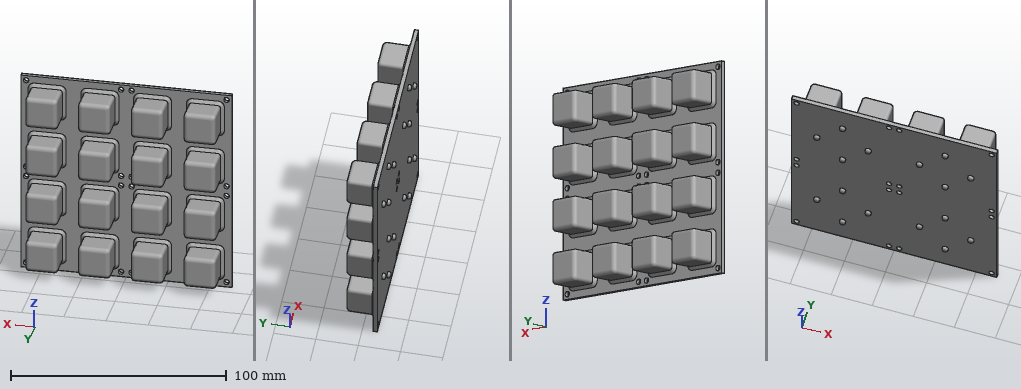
import cadquery as cq
import math

plate_side = 100.0
plate_thickness = 2.0

hole_diameter = 2.5
hole_inset = 2.5

buttons_per_side = 4
button_pitch = plate_side / buttons_per_side
button_side = 15.0
button_height = 13.7
button_corner_radius = 1.5
button_top_radius = 2.0

skirt_height = 1.5
skirt_angle = 45.0
skirt_width = skirt_height * math.tan(math.radians(skirt_angle))

stud_diameter = 3.0
stud_height = 1.5
stud_rounding = 1.0
stud_offset = button_pitch / 2

quadrant_center = plate_side / 4
hole_outer = plate_side / 2 - hole_inset
hole_lines = [-hole_outer, -hole_inset, hole_inset, hole_outer]
button_lines = [(i - (buttons_per_side - 1) / 2) * button_pitch for i in range(buttons_per_side)]
quadrant_lines = [-quadrant_center, quadrant_center]
diamond = [(stud_offset, 0), (-stud_offset, 0), (0, stud_offset), (0, -stud_offset)]


def grid(lines):
    """Every (x, z) crossing of equal column and row positions."""
    return [(x, z) for x in lines for z in lines]


def facing_back(y):
    """Work plane at the given y, facing +Y, with local axes -X and Z."""
    return cq.Workplane(cq.Plane(origin=(0, y, 0), xDir=(-1, 0, 0), normal=(0, 1, 0)))


def make_plate():
    plate = facing_back(0).rect(plate_side, plate_side).extrude(plate_thickness)
    holes = facing_back(0).pushPoints(grid(hole_lines)).circle(hole_diameter / 2).extrude(plate_thickness)
    return plate.cut(holes)


def make_button():
    body = facing_back(plate_thickness).rect(button_side, button_side).extrude(button_height)
    body = body.faces(">Y").edges().fillet(button_top_radius)
    body = body.edges("|Y").fillet(button_corner_radius)

    foot_side = button_side + 2 * skirt_width
    foot = cq.Sketch().rect(foot_side, foot_side).vertices().fillet(button_corner_radius + skirt_width)
    skirt = facing_back(plate_thickness).placeSketch(foot).extrude(skirt_height, taper=skirt_angle)
    return body.union(skirt)


def make_stud():
    stud = cq.Workplane("XZ").circle(stud_diameter / 2).extrude(stud_height)
    return stud.faces("<Y").edges().fillet(stud_rounding)


result = make_plate()

button = make_button()
for x, z in grid(button_lines):
    result = result.union(button.translate((x, 0, z)))

stud = make_stud()
for center_x, center_z in grid(quadrant_lines):
    for offset_x, offset_z in diamond:
        result = result.union(stud.translate((center_x + offset_x, 0, center_z + offset_z)))